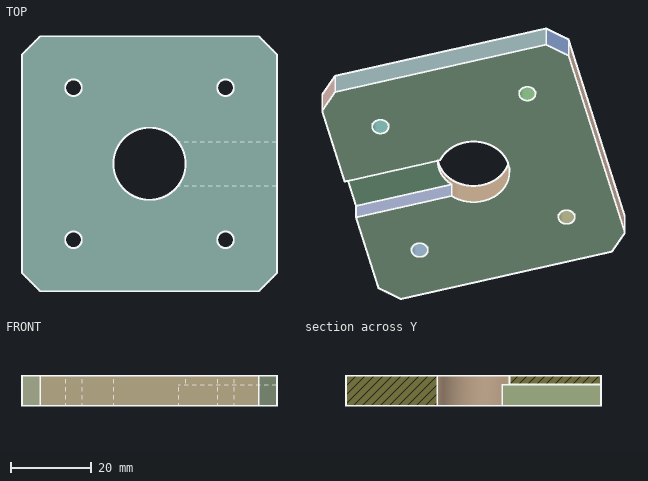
import cadquery as cq

plate_side = 63.77
plate_thickness = 7.5
corner_chamfer = 4.6

bore_diameter = 18.0
screw_hole_diameter = 4.1
screw_spacing = 38.0

channel_width = 11.0
channel_depth = 5.3


def chamfered_plate():
    """Square plate standing on Z = 0 with its four upright edges cut off."""
    plate = cq.Workplane("XY").box(
        plate_side, plate_side, plate_thickness, centered=(True, True, False)
    )
    return plate.edges("|Z").chamfer(corner_chamfer)


def drill_holes(plate):
    """Central bore and four screw holes on a square pattern, all through."""
    bored = plate.faces(">Z").workplane().hole(bore_diameter)
    pattern = bored.faces(">Z").workplane().rect(
        screw_spacing, screw_spacing, forConstruction=True
    )
    return pattern.vertices().hole(screw_hole_diameter)


def underside_channel():
    """Cutter for the channel running from the bore axis out through the +X side."""
    return cq.Workplane("XY").box(
        plate_side / 2, channel_width, channel_depth, centered=(False, True, False)
    )


result = drill_holes(chamfered_plate()).cut(underside_channel())